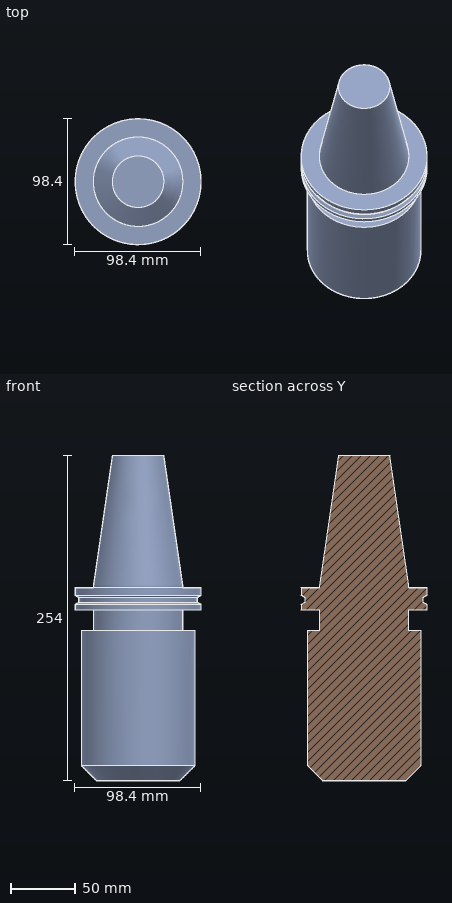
import cadquery as cq
import math

total_length = 254.0
flange_radius = 98.43 / 2

taper_length = 101.6
gauge_radius = 69.85 / 2
taper_ratio = 7 / 24
small_end_radius = gauge_radius - taper_length * taper_ratio / 2

collar_length = 1.5
gauge_to_flange_bottom = 19.05

gauge_to_groove_middle = 11.1
groove_root_radius = 46.4
groove_mouth_width = 7.0
groove_wall_angle = 30.0

neck_radius = gauge_radius
neck_length = 15.875
body_radius = 88.9 / 2
nose_chamfer = 12.0

top_z = taper_length
bottom_z = top_z - total_length
flange_top_z = -collar_length
flange_bottom_z = -gauge_to_flange_bottom
body_top_z = flange_bottom_z - neck_length


def cylinder(radius, low_z, high_z):
    """Solid cylinder on the Z axis between two heights."""
    return cq.Workplane("XY").workplane(offset=low_z).circle(radius).extrude(high_z - low_z)


def revolve_about_z(points):
    """Full turn of a closed (radius, z) outline, drawn on the -X side of the axis."""
    outline = [(-radius, z) for radius, z in points]
    return cq.Workplane("XZ").polyline(outline).close().revolve(360, (0, 0, 0), (0, 1, 0))


def taper_shank():
    return revolve_about_z([
        (0, 0),
        (gauge_radius, 0),
        (small_end_radius, top_z),
        (0, top_z),
    ])


def groove_ring():
    """Ring of material removed from the flange rim, with sloped walls and a flat root."""
    middle_z = -gauge_to_groove_middle
    half_mouth = groove_mouth_width / 2
    depth = flange_radius - groove_root_radius
    half_root = half_mouth - depth * math.tan(math.radians(groove_wall_angle))
    return revolve_about_z([
        (flange_radius, middle_z + half_mouth),
        (groove_root_radius, middle_z + half_root),
        (groove_root_radius, middle_z - half_root),
        (flange_radius, middle_z - half_mouth),
    ])


def flange():
    return cylinder(flange_radius, flange_bottom_z, flange_top_z).cut(groove_ring())


def body():
    blank = cylinder(body_radius, bottom_z, body_top_z)
    return blank.faces("<Z").chamfer(nose_chamfer)


collar = cylinder(gauge_radius, flange_top_z, 0)
neck = cylinder(neck_radius, body_top_z, flange_bottom_z)

result = taper_shank().union(collar).union(flange()).union(neck).union(body())